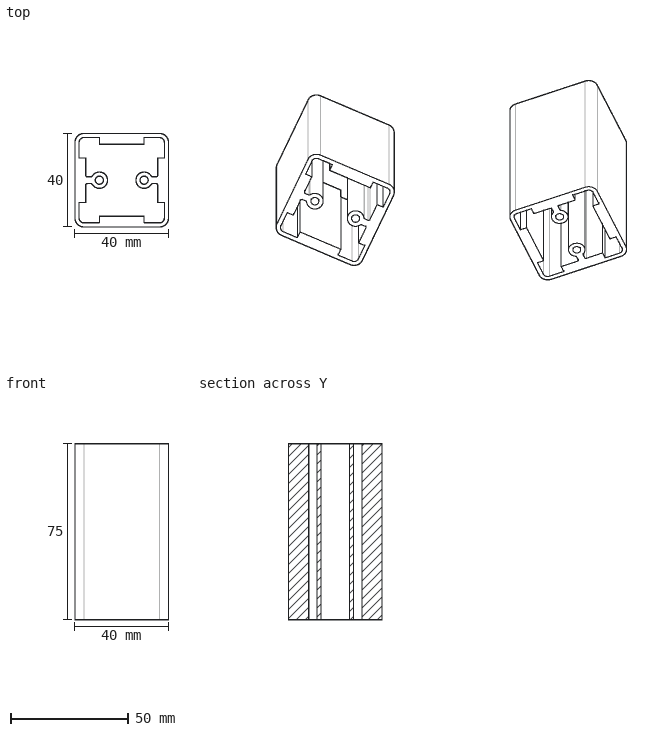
import cadquery as cq
import math

length = 75.0
side = 40.0
wall = 1.9
corner_radius = 4.0
inner_side = side - 2 * wall
inner_radius = corner_radius / 2

pad_width = 19.05
pad_thickness = 4.7

boss_spacing = pad_width
boss_diameter = 7.05
hole_diameter = 3.4
web_thickness = 3.0
web_fillet = 0.5
pick_margin = 0.1

pad_face = side / 2 - pad_thickness
boss_center = boss_spacing / 2


def square_prism(width, radius):
    """Full-length square bar with rounded long edges."""
    return cq.Workplane("XY").rect(width, width).extrude(length).edges("|Z").fillet(radius)


def wall_pad():
    """Thick strip on the +X wall, overlapping the wall up to mid-thickness."""
    outer_face = side / 2 - wall / 2
    return (
        cq.Workplane("XY")
        .center((pad_face + outer_face) / 2, 0)
        .rect(outer_face - pad_face, pad_width)
        .extrude(length)
    )


def fillet_web_corners(arm, x, radius):
    """Round the two inside corner edges of the web at the given X."""
    reach_y = web_thickness / 2 + pick_margin
    corners = cq.selectors.BoxSelector(
        (x - pick_margin, -reach_y, 0),
        (x + pick_margin, reach_y, length),
    )
    return arm.edges("|Z").edges(corners).fillet(radius)


def boss_arm():
    """Solid boss and its web, with small fillets at both ends of the web."""
    web = (
        cq.Workplane("XY")
        .center((boss_center + pad_face) / 2, 0)
        .rect(pad_face - boss_center, web_thickness)
        .extrude(length)
    )
    boss = cq.Workplane("XY").center(boss_center, 0).circle(boss_diameter / 2).extrude(length)
    neck_x = boss_center + math.sqrt((boss_diameter / 2) ** 2 - (web_thickness / 2) ** 2)
    arm = wall_pad().union(web).union(boss)
    arm = fillet_web_corners(arm, pad_face, web_fillet)
    return fillet_web_corners(arm, neck_x, web_fillet)


def turned(shape, angle):
    """Copy of a shape turned about the tube axis."""
    return shape.rotate((0, 0, 0), (0, 0, 1), angle)


result = square_prism(side, corner_radius).cut(square_prism(inner_side, inner_radius))

for angle in (0, 180):
    result = result.union(turned(boss_arm(), angle))

for angle in (90, 270):
    result = result.union(turned(wall_pad(), angle))

screw_holes = (
    cq.Workplane("XY")
    .pushPoints([(-boss_center, 0), (boss_center, 0)])
    .circle(hole_diameter / 2)
    .extrude(length)
)
result = result.cut(screw_holes)